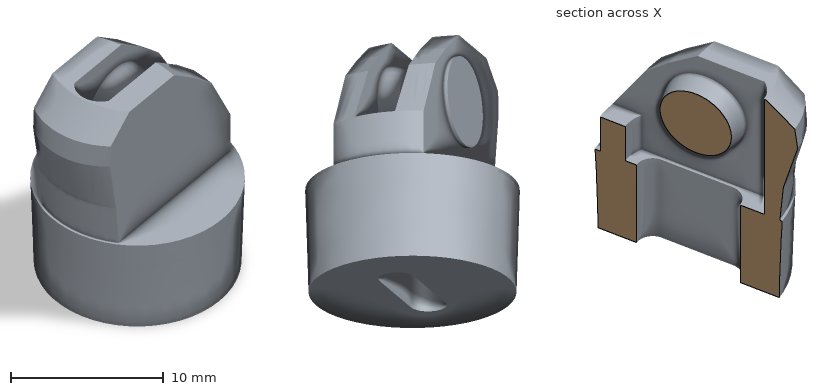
import cadquery as cq

base_top_radius = 7.033
base_bottom_radius = 6.81
base_height = 7.1
total_height = 17.56

head_half_width = 3.2
back_wall_top = 10.2
shoulder_level = 14.24
upper_level = 15.91

head_sections = [
    (base_height, -6.08, -6.85, 5.81, 6.64),
    (back_wall_top, -6.35, -7.11, 5.81, 6.64),
    (shoulder_level, -7.0, -8.18, 3.8, 4.18),
    (upper_level, -6.94, -7.97, 1.93, 2.37),
    (total_height, -4.95, -5.83, -0.21, 0.18),
]

slot_half_width = 1.44
slot_front_side = -4.88
slot_front_centre = -5.65
slot_back_side = 4.3
slot_back_centre = 4.72

roller_y = -0.53
roller_z = 12.96
roller_radius = 3.02
groove_radius = 2.69
axle_head_x = -3.51
axle_end_x = 2.1

hole_width = 2.42
hole_length = 7.76


def bowed_outline(half_width, level, front_side, front_centre, back_side, back_centre):
    """Wire with straight sides and bowed front and back ends."""
    return (
        cq.Workplane("XY", origin=(0, 0, level))
        .moveTo(-half_width, front_side)
        .threePointArc((0, front_centre), (half_width, front_side))
        .lineTo(half_width, back_side)
        .threePointArc((0, back_centre), (-half_width, back_side))
        .close()
    )


def make_base():
    bottom = cq.Workplane("XY").circle(base_bottom_radius)
    return bottom.workplane(offset=base_height).circle(base_top_radius).loft(ruled=True)


def make_head():
    wires = [bowed_outline(head_half_width, *section).wire().val() for section in head_sections]
    return cq.Workplane(obj=cq.Solid.makeLoft(wires, True))


def make_slot():
    """Closed pocket below the back wall top, open to the back above it."""
    pocket = bowed_outline(
        slot_half_width, base_height, slot_front_side, slot_front_centre, slot_back_side, slot_back_centre
    ).extrude(total_height - base_height)
    back_opening = cq.Workplane("XY").box(
        2 * slot_half_width, base_top_radius, total_height - back_wall_top, centered=(True, False, False)
    ).translate((0, 0, back_wall_top))
    return pocket.union(back_opening)


def make_roller():
    """Axle with a V-grooved roller between the cheeks, turned about an axis parallel to X."""
    return (
        cq.Workplane("XY", origin=(0, roller_y, roller_z))
        .moveTo(axle_head_x, 0)
        .lineTo(axle_head_x, roller_radius)
        .lineTo(-slot_half_width, roller_radius)
        .lineTo(0, groove_radius)
        .lineTo(slot_half_width, roller_radius)
        .lineTo(axle_end_x, roller_radius)
        .lineTo(axle_end_x, 0)
        .close()
        .revolve(360, (0, 0, 0), (1, 0, 0))
    )


hole = cq.Workplane("XY").slot2D(hole_length, hole_width, 90).extrude(base_height)

result = make_base().union(make_head()).cut(make_slot()).cut(hole).union(make_roller())